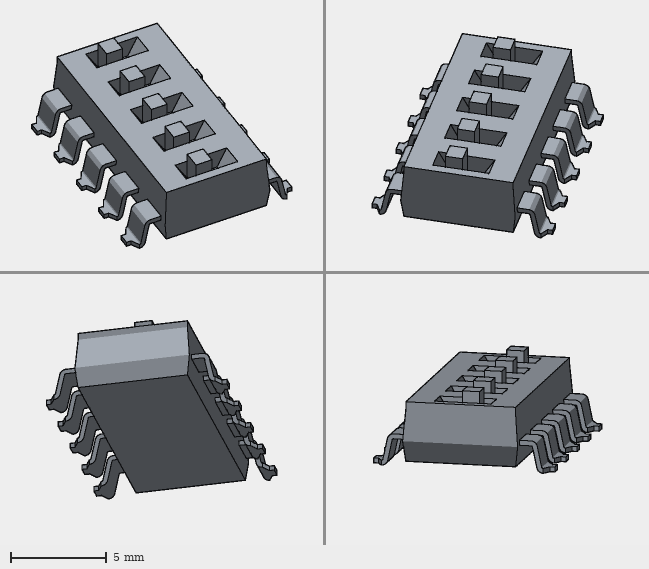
import cadquery as cq
import math

housing_length = 12.7
housing_width = 6.2
housing_bottom = 0.35
parting_height = 1.45
cover_bottom = 3.16
cover_top = 3.55
draft_inset = 0.14

switch_count = 5
pitch = 2.54

slot_width = 1.25
slot_length = 3.05
slot_floor_width = 1.07
slot_floor_length = 1.8
slot_depth = 1.0
knob_width = 0.99
knob_length = 0.94
knob_center_y = -0.41
knob_top = 4.15

lead_span = 9.77
lead_width = 1.55
lead_thickness = 0.27
lead_inset = 0.25
bend_start = 3.7
bend_inner_radius = 0.09
shank_lean = 12.0
tip_width = 0.62
tip_length = 0.27
shoulder_length = 0.25


def make_half_body(height):
    """Drafted block above the parting plane, or below it where the height is negative."""
    draft_angle = math.degrees(math.atan(draft_inset / abs(height)))
    return (
        cq.Workplane("XY", origin=(0, 0, parting_height))
        .rect(housing_length, housing_width)
        .extrude(height, taper=draft_angle)
    )


def make_housing():
    """Body drafted above and below the parting plane, with a straight-sided cover."""
    upper = make_half_body(cover_bottom - parting_height)
    lower = make_half_body(housing_bottom - parting_height)
    cover = upper.faces(">Z").wires().toPending().workplane().extrude(cover_top - cover_bottom)
    return lower.union(cover)


def make_slot(x):
    """Recess narrowing from the cover's top face to its flat floor."""
    return (
        cq.Workplane("XY", origin=(x, 0, cover_top))
        .rect(slot_width, slot_length)
        .workplane(offset=-slot_depth)
        .rect(slot_floor_width, slot_floor_length)
        .loft(ruled=True)
    )


def make_knob(x):
    """Square-cornered post set toward the -Y end of the slot floor."""
    floor_height = cover_top - slot_depth
    return (
        cq.Workplane("XY", origin=(x, knob_center_y, floor_height))
        .rect(knob_width, knob_length)
        .extrude(knob_top - floor_height)
    )


def make_lead(x):
    """Strip bent down and out on the +Y side, with its foot narrowed to a tip."""
    lean = math.radians(shank_lean)
    root_y = housing_width / 2 - lead_inset
    end_y = lead_span / 2
    top_z = parting_height + lead_thickness / 2
    foot_z = lead_thickness / 2

    radius = bend_inner_radius + lead_thickness / 2
    bend_run = radius * math.cos(lean)
    bend_drop = radius * (1 - math.sin(lean))
    shank_drop = top_z - foot_z - 2 * bend_drop
    shank_start = (bend_start + bend_run, top_z - bend_drop)
    shank_end = (shank_start[0] + shank_drop * math.tan(lean), foot_z + bend_drop)
    foot_start = (shank_end[0] + bend_run, foot_z)

    center_line = (
        cq.Workplane("YZ", origin=(x, 0, 0))
        .moveTo(root_y, top_z)
        .lineTo(bend_start, top_z)
        .tangentArcPoint(shank_start, relative=False)
        .lineTo(*shank_end)
        .tangentArcPoint(foot_start, relative=False)
        .lineTo(end_y, foot_z)
    )
    strip = (
        cq.Workplane("XZ", origin=(x, root_y, top_z))
        .rect(lead_width, lead_thickness)
        .sweep(center_line)
    )

    neck_y = end_y - tip_length
    shoulder_y = neck_y - shoulder_length
    outline = (
        cq.Workplane("XY", origin=(x, 0, 0))
        .moveTo(-lead_width / 2, root_y)
        .lineTo(-lead_width / 2, shoulder_y)
        .lineTo(-tip_width / 2, neck_y)
        .lineTo(-tip_width / 2, end_y)
        .lineTo(tip_width / 2, end_y)
        .lineTo(tip_width / 2, neck_y)
        .lineTo(lead_width / 2, shoulder_y)
        .lineTo(lead_width / 2, root_y)
        .close()
        .extrude(cover_bottom)
    )
    return strip.intersect(outline)


result = make_housing()
for index in range(switch_count):
    switch_x = (index - (switch_count - 1) / 2) * pitch
    lead = make_lead(switch_x)
    result = result.cut(make_slot(switch_x)).union(make_knob(switch_x))
    result = result.union(lead).union(lead.mirror("XZ"))